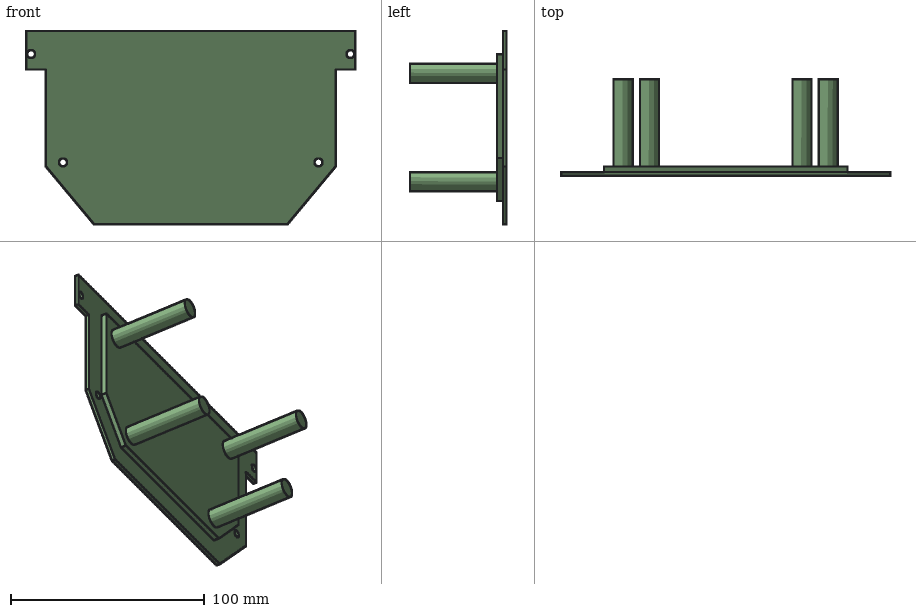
import cadquery as cq
import math

plate_height = 100.0
plate_thickness = 2.0
body_width = 150.0
ear_length = 10.0
ear_height = 20.0
slope_width = 25.0
slope_height = 30.0

pad_inset = 12.0
pad_thickness = 3.0

pin_diameter = 10.0
pin_edge_distance = 10.0
overall_depth = 50.0

hole_diameter = 4.0
ear_hole_edge_distance = 2.5
ear_hole_drop = 12.0
lower_hole_edge_distance = 9.0
lower_hole_height = 32.0

half_body = body_width / 2
half_plate = half_body + ear_length
pad_top = plate_thickness + pad_thickness
pin_length = overall_depth - pad_top


def mirrored(right_points):
    """Close a right-hand chain of (x, z) points with its mirror image across x = 0."""
    return right_points + [(-x, z) for x, z in reversed(right_points)]


def pad_corners():
    """Right-hand corners, bottom to top, of the earless body outline moved inward."""
    slope_length = math.hypot(slope_width, slope_height)
    side_x = half_body - pad_inset
    slope_top = slope_height + pad_inset * (slope_length - slope_height) / slope_width
    slope_bottom_x = half_body - slope_width - pad_inset * (slope_length - slope_width) / slope_height
    return [
        (slope_bottom_x, pad_inset),
        (side_x, slope_top),
        (side_x, plate_height - pad_inset),
    ]


def at_depth(y):
    """Workplane facing +Y: a local point (-x, z) lies at part position (x, y, z)."""
    return cq.Workplane("XZ", origin=(0, y, 0)).transformed(rotate=(0, 180, 0))


def make_plate():
    ear_bottom = plate_height - ear_height
    right_side = [
        (half_body - slope_width, 0),
        (half_body, slope_height),
        (half_body, ear_bottom),
        (half_plate, ear_bottom),
        (half_plate, plate_height),
    ]
    return at_depth(0).polyline(mirrored(right_side)).close().extrude(plate_thickness)


def make_pad():
    outline = mirrored(pad_corners())
    return at_depth(plate_thickness).polyline(outline).close().extrude(pad_thickness)


def make_pins():
    (lower_x, lower_z), _, (upper_x, upper_z) = pad_corners()
    lower_pin = (lower_x - pin_diameter / 2, lower_z + pin_edge_distance)
    upper_pin = (upper_x - pin_edge_distance, upper_z - pin_edge_distance)
    centers = mirrored([lower_pin, upper_pin])
    return at_depth(pad_top).pushPoints(centers).circle(pin_diameter / 2).extrude(pin_length)


def make_holes():
    ear_hole = (half_plate - ear_hole_edge_distance, plate_height - ear_hole_drop)
    lower_hole = (half_body - lower_hole_edge_distance, lower_hole_height)
    centers = mirrored([lower_hole, ear_hole])
    return at_depth(0).pushPoints(centers).circle(hole_diameter / 2).extrude(plate_thickness)


result = make_plate().cut(make_holes()).union(make_pad()).union(make_pins())